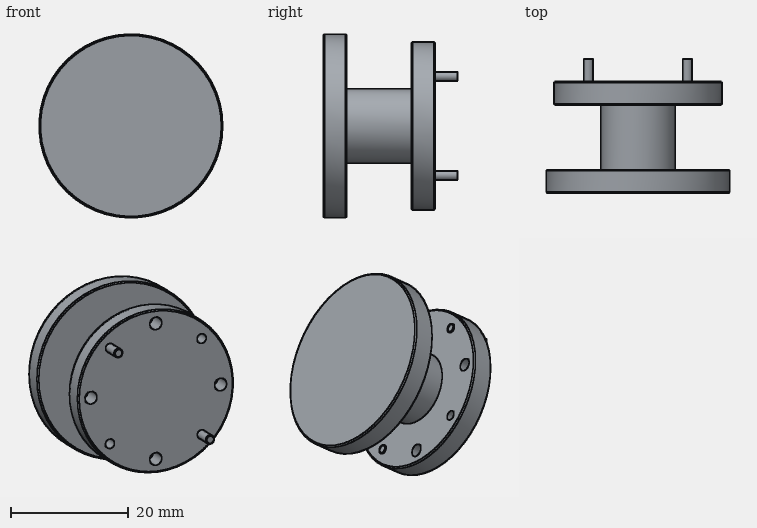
import cadquery as cq
import math

cover_diameter = 31.22
flange_diameter = 28.6
disc_thickness = 4.05
neck_diameter = 12.7
neck_length = 10.93
rim_chamfer = 0.25

hole_circle_radius = 11.9
bolt_hole_diameter = 2.2
bolt_angles = [0, 90, 180, 270]
dowel_diameter = 1.6
dowel_angles = [45, 225]
socket_diameter = 1.65
socket_angles = [135, 315]

dowel_protrusion = 3.87
dowel_chamfer = 0.15

flange_front = disc_thickness + neck_length
dowel_length = disc_thickness + dowel_protrusion


def cylinder(diameter, start_y, length, x=0, z=0):
    """Solid cylinder running in +Y from start_y."""
    base = cq.Workplane("XZ", origin=(x, start_y, z))
    return base.circle(diameter / 2).extrude(-length)


def disc(diameter, start_y):
    """Round disc with both rims chamfered."""
    return cylinder(diameter, start_y, disc_thickness).edges("%CIRCLE").chamfer(rim_chamfer)


def circle_position(angle):
    """X and Z of a point on the hole circle, with the angle measured from +X towards +Z."""
    turn = math.radians(angle)
    return hole_circle_radius * math.cos(turn), hole_circle_radius * math.sin(turn)


def drill_flange(body, diameter, angles):
    """Cut through holes in the flange at the given angles."""
    for angle in angles:
        x, z = circle_position(angle)
        body = body.cut(cylinder(diameter, flange_front, disc_thickness, x, z))
    return body


def make_spool():
    """Cover disc, neck and drilled flange as one body."""
    cover = disc(cover_diameter, 0)
    neck = cylinder(neck_diameter, disc_thickness, neck_length)
    flange = disc(flange_diameter, flange_front)
    body = cover.union(neck).union(flange)
    body = drill_flange(body, bolt_hole_diameter, bolt_angles)
    body = drill_flange(body, socket_diameter, socket_angles)
    return drill_flange(body, dowel_diameter, dowel_angles)


def make_dowel(angle):
    """Pin with chamfered ends, its inner end flush with the neck side of the flange."""
    x, z = circle_position(angle)
    pin = cylinder(dowel_diameter, flange_front, dowel_length, x, z)
    return pin.edges("%CIRCLE").chamfer(dowel_chamfer)


spool = make_spool()
dowels = [make_dowel(angle) for angle in dowel_angles]

result = cq.Compound.makeCompound([spool.val(), *[dowel.val() for dowel in dowels]])